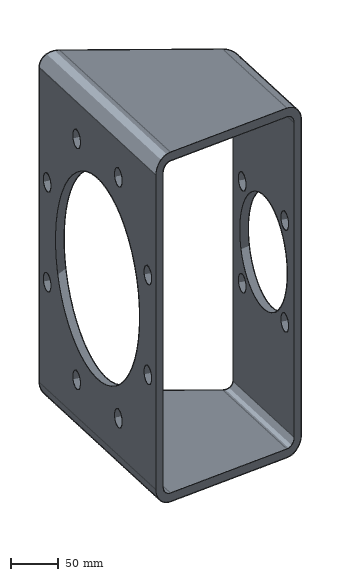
import cadquery as cq

depth = 200.0
height = 400.0
wall = 10.0
outer_radius = 20.0
inner_radius = outer_radius - wall

front_width = 320.0
back_width = 160.0

front_bore = 230.0
back_bore = 130.0
bolt_hole = 21.0
front_bolt_circle = 298.5
back_bolt_circle = 165.0
front_bolt_count = 8
back_bolt_count = 4


def rounded_bar(bar_depth, bar_height, radius):
    """Solid bar along X, as long as the front is wide, with rounded long edges."""
    bar = cq.Workplane("XY").box(front_width, bar_depth, bar_height)
    return bar.edges("|X").fillet(radius)


def mitre_envelope():
    """Upright trapezoidal prism that trims both tube ends to a slant."""
    corners = [
        (-front_width / 2, -depth / 2),
        (front_width / 2, -depth / 2),
        (back_width / 2, depth / 2),
        (-back_width / 2, depth / 2),
    ]
    return cq.Workplane("XY").polyline(corners).close().extrude(height / 2, both=True)


def flange_cutter(bore, bolt_circle, bolt_count):
    """Bore and evenly spaced bolt holes along -Y from the mid plane, with no hole on the X or Z axis."""
    pitch_angle = 360 / bolt_count
    center = cq.Workplane("XZ").circle(bore / 2).extrude(depth / 2)
    bolts = (
        cq.Workplane("XZ")
        .polarArray(bolt_circle / 2, pitch_angle / 2, 360, bolt_count)
        .circle(bolt_hole / 2)
        .extrude(depth / 2)
    )
    return center.union(bolts)


outer_bar = rounded_bar(depth, height, outer_radius)
inner_bar = rounded_bar(depth - 2 * wall, height - 2 * wall, inner_radius)
tube = outer_bar.cut(inner_bar).intersect(mitre_envelope())

front_cutter = flange_cutter(front_bore, front_bolt_circle, front_bolt_count)
back_cutter = flange_cutter(back_bore, back_bolt_circle, back_bolt_count).mirror("XZ")

result = tube.cut(front_cutter).cut(back_cutter)